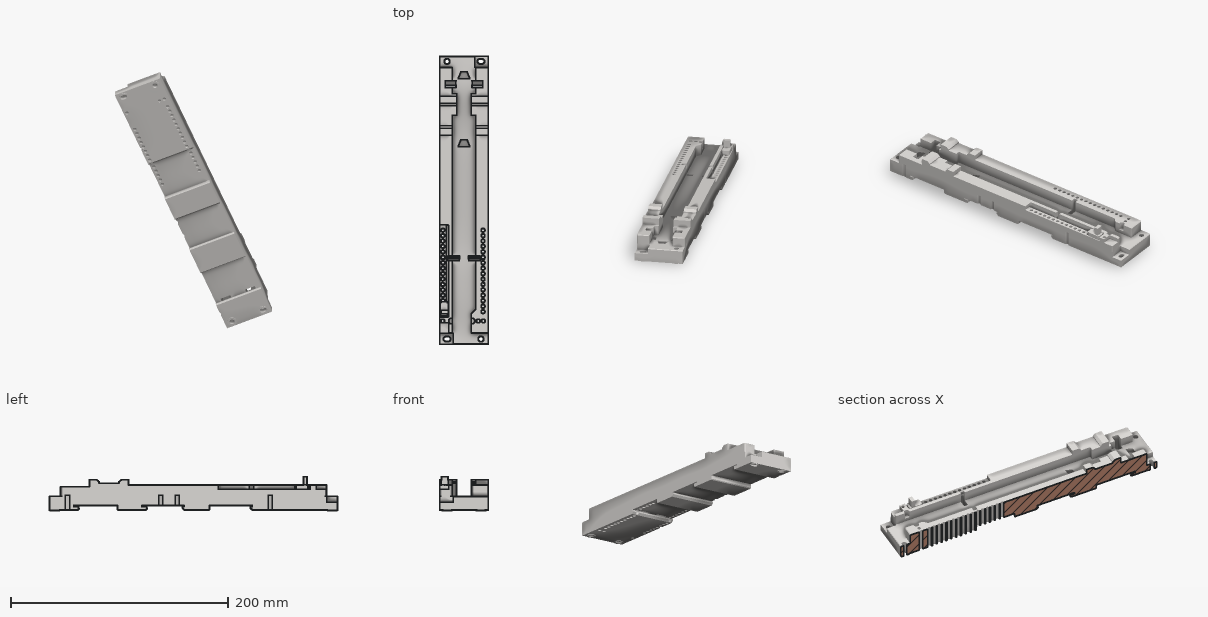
import cadquery as cq

LENGTH = 265.0
WIDTH = 45.0
HALF_WIDTH = WIDTH / 2
MARGIN = 1.0

FOOT_HEIGHT = 0.6
BODY_BOTTOM = FOOT_HEIGHT
RECESS_TOP = 4.7
LIP_TOP = 3.9
LOW_LEDGE_Z = 7.9
FLOOR_Z = 13.5
POCKET_FLOOR_Z = 19.9
BACK_BLOCK_TOP = 22.3
RAIL_TOP = 23.9
SADDLE_Z = 25.5
TOWER_TOP = 28.7
PEG_TOP = 31.3

END_LEDGE = 10.0
FRONT_WALL = LENGTH - END_LEDGE
TOWER_START = 36.8
TOWER_END = 72.8
TOWER_FLAT = 6.5
TOWER_SLOPE = 2.4
SADDLE_RISER = 1.1

CHANNEL_HALF = 10.8
NECK_HALF = 6.8
NECK_START = 34.4
NECK_END = 54.4
FRONT_TAPER_START = 232.8

EDGE_CHAMFER = 0.6
CORNER_RADIUS = 1.2

MOUNT_X = 15.6
MOUNT_STATION = 4.8
MOUNT_DIAMETER = 4.8
MOUNT_SLOT_LENGTH = 6.4
MOUNT_SLOT_WIDTH = 4.3
FOOT_DIAMETER = 8.4
LOW_LEDGE_X = 10.0

HOLE_DIAMETER = 3.2
HOLE_PITCH = 5.0
HOLE_START = 160.0
LEFT_HOLE_X = -19.4
RIGHT_HOLE_X = 17.5
LEFT_HOLE_COUNT = 14
RIGHT_HOLE_COUNT = 16
END_HOLE_STATION = 243.6
END_HOLE_XS = (LEFT_HOLE_X, 13.1, 17.9)

POCKET_X = -13.9
POCKET_START = 155.2
POCKET_END = 240.1
POCKET_RADIUS = 1.6
SHELF_START = 245.4

TRENCH_X = -16.2
TRENCH_END = 227.0
TRENCH_DEPTH = 3.0

SLIDER_X = (-21.9, -14.7)
SLIDER_STATIONS = (225.8, 239.0)
SLIDER_CHAMFER = 1.2
PEG_X = (-20.9, -14.7)
PEG_STATIONS = (233.5, 237.0)

NOTCH_RADIUS = 2.6
NOTCH_INSET = 0.7
NOTCH_FLOOR_Z = 17.0

SIDE_GROOVES = (
    (16.5, 4.2, 0.6),
    (102.4, 3.5, 1.3),
    (117.6, 3.5, 1.3),
    (203.2, 3.5, 1.3),
)
GROOVE_TOP = 14.4

BACK_UNDERCUT = 22.6
BACK_LIP_TIP = 27.2
BACK_RECESS_WALL = 62.4
MIDDLE_BACK_UNDERCUT = 85.0
MIDDLE_BACK_LIP_TIP = 89.9
MIDDLE_FRONT_UNDERCUT = 123.6
MIDDLE_FRONT_LIP_TIP = 122.2
FRONT_RECESS_WALL = 147.4
FRONT_UNDERCUT = 186.4
FRONT_LIP_TIP = 184.8
BACK_LIP_LEAD_IN = 1.2
BACK_LIP_NOSE_Z = 1.8
BACK_LIP_RELIEF = 0.6
FRONT_LIP_RAMP = 2.0
RECESS_CHAMFER = 0.8

BACK_WINDOW_X = (7.4, 17.2)
BACK_WINDOW_STATIONS = (22.4, 28.8)
FRONT_WINDOW_X = (4.3, 14.9)
FRONT_WINDOW_STATIONS = (184.0, 188.0)
WEDGE_STATIONS = (14.4, 76.8)
WEDGE_LENGTH = 6.4
WEDGE_HALF_NARROW = 2.9
WEDGE_HALF_WIDE = 5.4
WEDGE_DEPTH = 5.0


def y_at(station):
    return LENGTH / 2 - station


def block(x_range, stations, z_range):
    """Box spanning the given X, station and Z ranges."""
    x0, x1 = x_range
    s0, s1 = stations
    z0, z1 = z_range
    box = cq.Workplane("XY").box(x1 - x0, s1 - s0, z1 - z0, centered=False)
    return box.translate((x0, y_at(s1), z0))


def side_prism(points):
    """Extrude a (station, z) outline across the full width."""
    outline = [(y_at(station), z) for station, z in points]
    return cq.Workplane("YZ").polyline(outline).close().extrude(HALF_WIDTH, both=True)


def plan_prism(points, z0, z1):
    """Extrude an (x, station) outline between two levels."""
    outline = [(x, y_at(station)) for x, station in points]
    return cq.Workplane("XY").workplane(offset=z0).polyline(outline).close().extrude(z1 - z0)


def cylinders(places, diameter, z0, z1):
    """Upright cylinders at (x, station) places."""
    points = [(x, y_at(station)) for x, station in places]
    return cq.Workplane("XY").workplane(offset=z0).pushPoints(points).circle(diameter / 2).extrude(z1 - z0)


def make_base():
    plate = block((-HALF_WIDTH, HALF_WIDTH), (0, LENGTH), (BODY_BOTTOM, FLOOR_Z))
    return plate.faces(">Z").edges("<Y or >Y").chamfer(EDGE_CHAMFER)


def make_rails():
    """The two raised rails: stepped side outline with the channel taken out."""
    slope_in = TOWER_START + TOWER_FLAT
    slope_out = TOWER_END - TOWER_FLAT
    rails = side_prism([
        (END_LEDGE, BODY_BOTTOM),
        (END_LEDGE, BACK_BLOCK_TOP - EDGE_CHAMFER),
        (END_LEDGE + EDGE_CHAMFER, BACK_BLOCK_TOP),
        (TOWER_START, BACK_BLOCK_TOP),
        (TOWER_START, TOWER_TOP),
        (slope_in, TOWER_TOP),
        (slope_in + TOWER_SLOPE, SADDLE_Z + SADDLE_RISER),
        (slope_in + TOWER_SLOPE, SADDLE_Z),
        (slope_out - TOWER_SLOPE, SADDLE_Z),
        (slope_out - TOWER_SLOPE, SADDLE_Z + SADDLE_RISER),
        (slope_out, TOWER_TOP),
        (TOWER_END, TOWER_TOP),
        (TOWER_END, RAIL_TOP),
        (FRONT_WALL - EDGE_CHAMFER, RAIL_TOP),
        (FRONT_WALL, RAIL_TOP - EDGE_CHAMFER),
        (FRONT_WALL, BODY_BOTTOM),
    ])
    taper_end = FRONT_TAPER_START + CHANNEL_HALF - NECK_HALF
    channel = plan_prism([
        (-CHANNEL_HALF, 0),
        (-CHANNEL_HALF, NECK_START),
        (-NECK_HALF, NECK_START),
        (-NECK_HALF, NECK_END),
        (-CHANNEL_HALF, NECK_END),
        (-CHANNEL_HALF, LENGTH),
        (NECK_HALF, LENGTH),
        (NECK_HALF, taper_end),
        (CHANNEL_HALF, FRONT_TAPER_START),
        (CHANNEL_HALF, NECK_END),
        (NECK_HALF, NECK_END),
        (NECK_HALF, NECK_START),
        (CHANNEL_HALF, NECK_START),
        (CHANNEL_HALF, 0),
    ], BODY_BOTTOM, TOWER_TOP + MARGIN)
    rails = rails.cut(channel)
    return rails.faces("<Y or >Y").edges("|Z").fillet(CORNER_RADIUS)


def make_low_ledges():
    """Lowered corners under the two slotted mounting holes."""
    z_range = (LOW_LEDGE_Z, FLOOR_Z + MARGIN)
    front = block((-HALF_WIDTH, -LOW_LEDGE_X), (FRONT_WALL, LENGTH), z_range)
    back = block((LOW_LEDGE_X, HALF_WIDTH), (0, END_LEDGE), z_range)
    return front.union(back)


def mount_places():
    front_station = LENGTH - MOUNT_STATION
    round_places = [(-MOUNT_X, MOUNT_STATION), (MOUNT_X, front_station)]
    slot_places = [(MOUNT_X, MOUNT_STATION), (-MOUNT_X, front_station)]
    return round_places, slot_places


def make_feet():
    round_places, slot_places = mount_places()
    return cylinders(round_places + slot_places, FOOT_DIAMETER, 0, RECESS_TOP)


def make_mount_holes():
    round_places, slot_places = mount_places()
    holes = cylinders(round_places, MOUNT_DIAMETER, -MARGIN, RAIL_TOP)
    points = [(x, y_at(station)) for x, station in slot_places]
    slots = cq.Workplane("XY").workplane(offset=-MARGIN).pushPoints(points)
    return holes.union(slots.slot2D(MOUNT_SLOT_LENGTH, MOUNT_SLOT_WIDTH).extrude(RAIL_TOP))


def back_hook(undercut, tip):
    """Back end of a recess: an undercut above a nosed lip, listed upwards."""
    return [
        (tip - BACK_LIP_LEAD_IN, 0),
        (tip - BACK_LIP_LEAD_IN, BODY_BOTTOM),
        (tip, BACK_LIP_NOSE_Z),
        (tip - BACK_LIP_RELIEF, LIP_TOP),
        (undercut, LIP_TOP),
        (undercut, RECESS_TOP),
    ]


def front_hook(undercut, tip):
    """Front end of a recess: an undercut above a ramped lip, listed downwards."""
    return [
        (undercut, RECESS_TOP),
        (undercut, LIP_TOP),
        (tip, LIP_TOP),
        (tip, BODY_BOTTOM + FRONT_LIP_RAMP),
        (tip + FRONT_LIP_RAMP, BODY_BOTTOM),
        (tip + FRONT_LIP_RAMP, 0),
    ]


def plain_wall(wall, outward):
    """Upright recess end with a chamfered mouth, listed upwards; outward is +1 or -1."""
    mouth = wall + outward * RECESS_CHAMFER
    return [
        (mouth, 0),
        (mouth, BODY_BOTTOM),
        (wall, BODY_BOTTOM + RECESS_CHAMFER),
        (wall, RECESS_TOP),
    ]


def make_rail_recesses():
    """Three recesses across the underside, with hooked lips and undercuts."""
    back_end_wall = plain_wall(BACK_RECESS_WALL, 1)
    back_end_wall.reverse()
    back = side_prism(back_hook(BACK_UNDERCUT, BACK_LIP_TIP) + back_end_wall)
    middle_back = back_hook(MIDDLE_BACK_UNDERCUT, MIDDLE_BACK_LIP_TIP)
    middle_front = front_hook(MIDDLE_FRONT_UNDERCUT, MIDDLE_FRONT_LIP_TIP)
    middle = side_prism(middle_back + middle_front)
    front_start_wall = plain_wall(FRONT_RECESS_WALL, -1)
    front = side_prism(front_start_wall + front_hook(FRONT_UNDERCUT, FRONT_LIP_TIP))
    return back.union(middle).union(front)


def make_windows():
    """Mirrored pairs of openings that reach down to the recess lips."""
    cutters = cq.Workplane("XY")
    pairs = (
        (BACK_WINDOW_X, BACK_WINDOW_STATIONS, LIP_TOP),
        (FRONT_WINDOW_X, FRONT_WINDOW_STATIONS, RECESS_TOP),
    )
    for (inner, outer), stations, floor in pairs:
        z_range = (floor, RAIL_TOP + MARGIN)
        cutters = cutters.add(block((inner, outer), stations, z_range))
        cutters = cutters.add(block((-outer, -inner), stations, z_range))
    return cutters.combine()


def make_wedge_pockets():
    pockets = cq.Workplane("XY")
    for start in WEDGE_STATIONS:
        end = start + WEDGE_LENGTH
        pockets = pockets.add(plan_prism([
            (-WEDGE_HALF_NARROW, start),
            (WEDGE_HALF_NARROW, start),
            (WEDGE_HALF_WIDE, end),
            (-WEDGE_HALF_WIDE, end),
        ], FLOOR_Z - WEDGE_DEPTH, FLOOR_Z + MARGIN))
    return pockets.combine()


def make_side_grooves():
    grooves = cq.Workplane("XY")
    for station, width, depth in SIDE_GROOVES:
        radius = ((width / 2) ** 2 + depth ** 2) / (2 * depth)
        axis_x = depth - HALF_WIDTH - radius
        grooves = grooves.add(cylinders([(axis_x, station)], 2 * radius, 0, GROOVE_TOP))
    return grooves.combine()


def make_left_pockets():
    """Terminal pocket with its trench, and the front shelf; both open to the left side."""
    x_range = (-HALF_WIDTH - MARGIN, POCKET_X)
    z_range = (POCKET_FLOOR_Z, RAIL_TOP + MARGIN)
    pocket = block(x_range, (POCKET_START, POCKET_END), z_range)
    pocket = pocket.edges("|Z and >X").fillet(POCKET_RADIUS)
    trench_z = (POCKET_FLOOR_Z - TRENCH_DEPTH, POCKET_FLOOR_Z + MARGIN)
    trench = block((TRENCH_X, POCKET_X), (POCKET_START, TRENCH_END), trench_z)
    trench = trench.edges("|Z and >X and >Y").fillet(POCKET_RADIUS)
    shelf = block(x_range, (SHELF_START, FRONT_WALL + MARGIN), z_range)
    return pocket.union(trench).union(shelf)


def make_notches():
    left_x = -CHANNEL_HALF - NOTCH_INSET
    right_x = NECK_HALF + NOTCH_INSET
    places = [(left_x, END_HOLE_STATION), (right_x, END_HOLE_STATION)]
    return cylinders(places, 2 * NOTCH_RADIUS, NOTCH_FLOOR_Z, RAIL_TOP + MARGIN)


def make_terminal_holes():
    left = [(LEFT_HOLE_X, HOLE_START + i * HOLE_PITCH) for i in range(LEFT_HOLE_COUNT)]
    right = [(RIGHT_HOLE_X, HOLE_START + i * HOLE_PITCH) for i in range(RIGHT_HOLE_COUNT)]
    ends = [(x, END_HOLE_STATION) for x in END_HOLE_XS]
    return cylinders(left + right + ends, HOLE_DIAMETER, -MARGIN, RAIL_TOP + MARGIN)


def make_slider():
    body = block(SLIDER_X, SLIDER_STATIONS, (POCKET_FLOOR_Z - MARGIN, RAIL_TOP))
    body = body.edges("|Z").chamfer(SLIDER_CHAMFER)
    peg = block(PEG_X, PEG_STATIONS, (POCKET_FLOOR_Z, PEG_TOP))
    return body.union(peg)


result = make_base().union(make_rails()).union(make_feet())
result = result.cut(make_low_ledges())
result = result.cut(make_rail_recesses())
result = result.cut(make_windows())
result = result.cut(make_wedge_pockets())
result = result.cut(make_side_grooves())
result = result.cut(make_left_pockets())
result = result.cut(make_notches())
result = result.cut(make_mount_holes())
result = result.cut(make_terminal_holes())
result = result.union(make_slider())